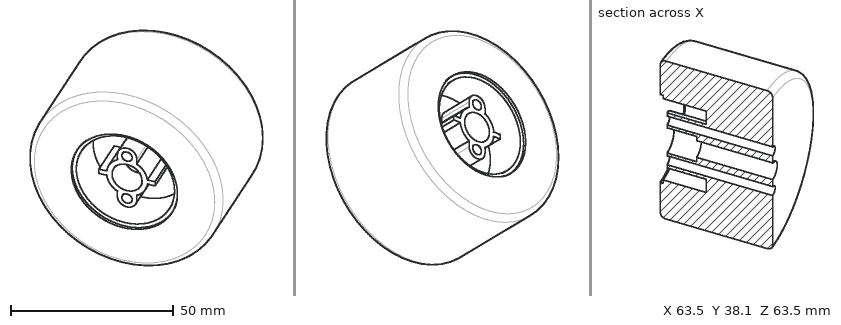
import cadquery as cq

wheel_diameter = 63.5
wheel_width = 38.1
edge_radius = 2.0

rim_diameter = 35.0
rim_depth = 1.0
recess_diameter = 32.4
recess_depth = 15.5

hub_diameter = 13.5
hub_setback = 2.35
lobe_diameter = 6.35
lobe_offset = 7.94
rib_span = 18.5
rib_thickness = 1.6

axle_diameter = 6.5
bearing_diameter = 9.9
bearing_depth = 10.0
screw_diameter = 3.4

front_y = -wheel_width / 2
hub_length = recess_depth - hub_setback
lobe_positions = [(0, lobe_offset), (0, -lobe_offset)]


def front_plane(depth):
    """Sketch plane at a depth behind the front face; its normal points out of that face."""
    return cq.Workplane("XZ", origin=(0, front_y + depth, 0))


def make_body():
    body = front_plane(wheel_width).circle(wheel_diameter / 2).extrude(wheel_width)
    return body.faces("<Y or >Y").edges().fillet(edge_radius)


def make_recess():
    rim = front_plane(rim_depth).circle(rim_diameter / 2).extrude(rim_depth)
    pocket = front_plane(recess_depth).circle(recess_diameter / 2).extrude(recess_depth)
    return rim.union(pocket)


def make_hub():
    base = front_plane(recess_depth)
    barrel = base.circle(hub_diameter / 2).extrude(hub_length)
    lobes = base.pushPoints(lobe_positions).circle(lobe_diameter / 2).extrude(hub_length)
    lobe_web = base.rect(lobe_diameter, 2 * lobe_offset).extrude(hub_length)
    ribs = base.rect(rib_span, rib_thickness).extrude(hub_length)
    return barrel.union(lobes).union(lobe_web).union(ribs)


def make_holes():
    back = front_plane(wheel_width)
    axle = back.circle(axle_diameter / 2).extrude(wheel_width)
    screws = back.pushPoints(lobe_positions).circle(screw_diameter / 2).extrude(wheel_width)
    bearing_floor = front_plane(hub_setback + bearing_depth)
    bearing = bearing_floor.circle(bearing_diameter / 2).extrude(bearing_depth)
    return axle.union(screws).union(bearing)


result = make_body().cut(make_recess()).union(make_hub()).cut(make_holes())